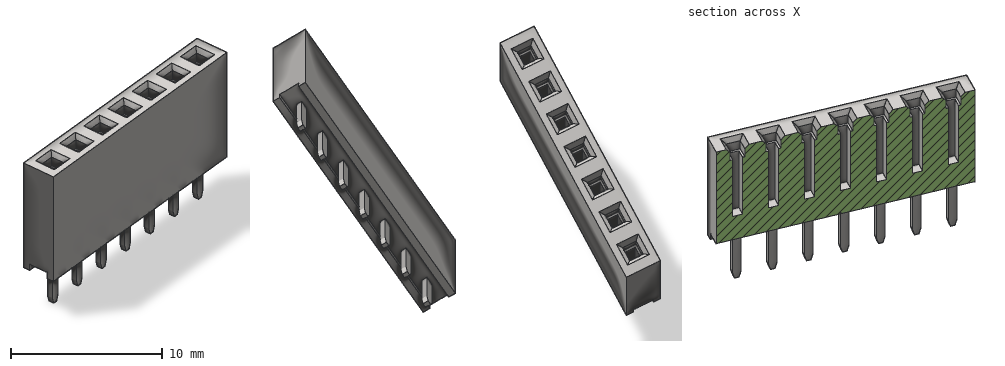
import cadquery as cq

pin_count = 7
pitch = 2.55
housing_length = 18.28
housing_width = pitch
overall_height = 11.5
housing_height = 8.5

channel_width = 1.5
channel_depth = 0.5

mouth_size = 1.6
throat_size = 1.0
bore_size = 0.7
mouth_depth = (mouth_size - throat_size) / 2
well_floor_depth = 1.0
bore_depth = 4.94

pin_thickness = 0.4
pin_width = 0.6
tip_width = 0.31
tip_height = 0.5

channel_ceiling = channel_depth
pin_end = housing_height - overall_height
throat_top = housing_height - mouth_depth
throat_floor = housing_height - well_floor_depth

pin_positions = [(i - (pin_count - 1) / 2) * pitch for i in range(pin_count)]


def make_housing():
    """Rectangular block with a channel open at both ends of its underside."""
    block = cq.Workplane("XY").box(
        housing_width, housing_length, housing_height, centered=(True, True, False)
    )
    channel = cq.Workplane("XY").box(
        channel_width, housing_length, channel_depth, centered=(True, True, False)
    )
    return block.cut(channel)


def make_socket(y):
    """Solid to remove for one socket: tapered mouth, square well and narrower bore."""
    mouth = (
        cq.Workplane("XY", origin=(0, y, housing_height))
        .rect(mouth_size, mouth_size)
        .workplane(offset=-mouth_depth)
        .rect(throat_size, throat_size)
        .loft(ruled=True)
    )
    throat = (
        cq.Workplane("XY", origin=(0, y, throat_top))
        .rect(throat_size, throat_size)
        .extrude(throat_floor - throat_top)
    )
    bore = (
        cq.Workplane("XY", origin=(0, y, throat_floor))
        .rect(bore_size, bore_size)
        .extrude(-bore_depth)
    )
    return mouth.union(throat).union(bore)


def make_pin(y):
    """Flat pin hanging from the channel ceiling, narrowed in Y at its end."""
    shoulder = pin_end + tip_height
    outline = [
        (y - pin_width / 2, channel_ceiling),
        (y - pin_width / 2, shoulder),
        (y - tip_width / 2, pin_end),
        (y + tip_width / 2, pin_end),
        (y + pin_width / 2, shoulder),
        (y + pin_width / 2, channel_ceiling),
    ]
    return cq.Workplane("YZ").polyline(outline).close().extrude(pin_thickness / 2, both=True)


result = make_housing()
for pin_y in pin_positions:
    result = result.cut(make_socket(pin_y)).union(make_pin(pin_y))